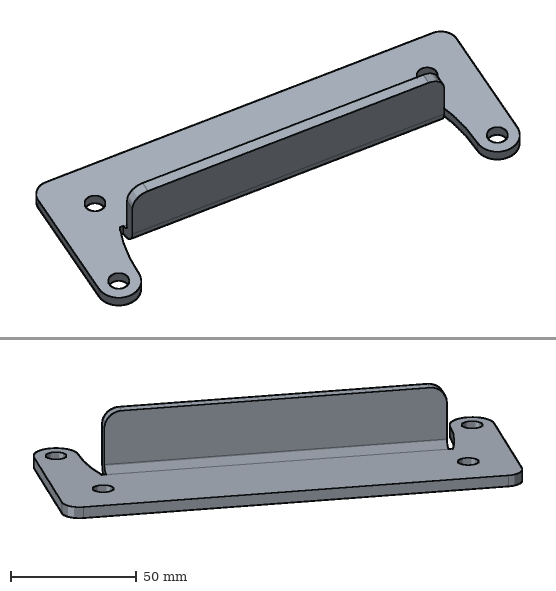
import cadquery as cq
import math


sheet = 4.76
bend_inner_radius = 3.175
bend_outer_radius = bend_inner_radius + sheet

length = 188.0
width = 69.1
back_corner_radius = 7.14
bend_start_x = 34.9

lug_radius = 9.0
lug_edge_radius = 76.2
lug_x = width - lug_radius
lug_y = length / 2 - lug_radius

flange_length = 140.0
flange_height = 30.2
flange_corner_radius = 7.0

hole_diameter = 8.3
plate_hole_x = 19.05
plate_hole_y = 74.6


def lug_edge_y(x):
    """Y of the +Y lug's concave inner edge at a given X."""
    tangent_y = lug_y - lug_radius
    run = lug_x - x
    return tangent_y - lug_edge_radius + math.sqrt(lug_edge_radius**2 - run**2)


def make_base():
    half_length = length / 2
    lug_inner_y = lug_y - lug_radius
    notch_y = lug_edge_y(bend_start_x)
    edge_mid_x = (bend_start_x + lug_x) / 2
    edge_mid_y = lug_edge_y(edge_mid_x)
    plate = (
        cq.Workplane("XY")
        .moveTo(0, -half_length)
        .lineTo(lug_x, -half_length)
        .threePointArc((width, -lug_y), (lug_x, -lug_inner_y))
        .threePointArc((edge_mid_x, -edge_mid_y), (bend_start_x, -notch_y))
        .lineTo(bend_start_x, notch_y)
        .threePointArc((edge_mid_x, edge_mid_y), (lug_x, lug_inner_y))
        .threePointArc((width, lug_y), (lug_x, half_length))
        .lineTo(0, half_length)
        .close()
        .extrude(sheet)
    )
    return plate.edges("|Z and <X").fillet(back_corner_radius)


def make_flange():
    """Quarter bend leaving the base plus the upright wall, with rounded top corners."""
    bend_center_z = bend_outer_radius
    inner_x = bend_start_x + bend_inner_radius
    outer_x = bend_start_x + bend_outer_radius
    diagonal = math.sqrt(0.5)
    outer_mid = (
        bend_start_x + bend_outer_radius * diagonal,
        bend_center_z - bend_outer_radius * diagonal,
    )
    inner_mid = (
        bend_start_x + bend_inner_radius * diagonal,
        bend_center_z - bend_inner_radius * diagonal,
    )
    flange = (
        cq.Workplane("XZ")
        .moveTo(bend_start_x, 0)
        .threePointArc(outer_mid, (outer_x, bend_center_z))
        .lineTo(outer_x, flange_height)
        .lineTo(inner_x, flange_height)
        .lineTo(inner_x, bend_center_z)
        .threePointArc(inner_mid, (bend_start_x, sheet))
        .close()
        .extrude(flange_length / 2, both=True)
    )
    top_corners = flange.faces(">Z").edges("|X")
    return top_corners.fillet(flange_corner_radius)


def make_holes():
    centers = []
    for side in (-1, 1):
        centers.append((plate_hole_x, side * plate_hole_y))
        centers.append((lug_x, side * lug_y))
    return cq.Workplane("XY").pushPoints(centers).circle(hole_diameter / 2).extrude(sheet)


result = make_base().union(make_flange()).cut(make_holes())